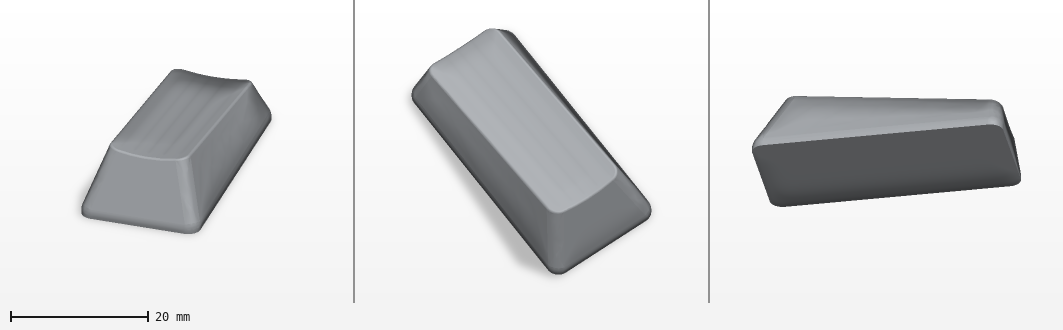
import cadquery as cq
import math

base_width = 18.15
base_length = 37.2
skirt_height = 1.0

rim_width = 12.13
rim_front_y = -14.0
rim_back_y = 18.1
rim_front_z = 9.95
rim_tilt_degrees = 7.2

scoop_depth = 0.7

body_fillet_radius = 1.9
rim_fillet_radius = 0.37

rim_run = rim_back_y - rim_front_y
rim_tilt = math.radians(rim_tilt_degrees)
rim_drop = rim_run * math.tan(rim_tilt)
rim_length = math.hypot(rim_run, rim_drop)

skirt_plane = cq.Plane(origin=(0, 0, skirt_height))
rim_plane = cq.Plane(
    origin=(0, (rim_front_y + rim_back_y) / 2, rim_front_z - rim_drop / 2),
    xDir=(1, 0, 0),
    normal=(0, math.sin(rim_tilt), math.cos(rim_tilt)),
)


def make_sharp_body():
    """Upright skirt topped by walls that lean in to the tilted rim."""
    skirt = cq.Workplane("XY").rect(base_width, base_length).extrude(skirt_height)
    wall_foot = cq.Workplane(skirt_plane).rect(base_width, base_length).val()
    wall_top = cq.Workplane(rim_plane).rect(rim_width, rim_length).val()
    walls = cq.Solid.makeLoft([wall_foot, wall_top], True)
    return skirt.union(cq.Workplane(walls))


def is_body_edge(edge):
    """True for the skirt and wall corners and for the bend between skirt and walls."""
    box = edge.BoundingBox()
    touches_bend = box.zmin <= skirt_height <= box.zmax
    return touches_bend


def round_body(body):
    return body.edges().filter(is_body_edge).fillet(body_fillet_radius)


def cut_scoop(body):
    """Hollow the top with a cylinder that runs the length of the tilted rim plane."""
    half_width = rim_width / 2
    scoop_radius = (half_width**2 + scoop_depth**2) / (2 * scoop_depth)
    cutter = cq.Solid.makeCylinder(
        scoop_radius,
        2 * rim_length,
        rim_plane.toWorldCoords((0, -rim_length, scoop_radius - scoop_depth)),
        rim_plane.yDir,
    )
    return body.cut(cq.Workplane(cutter))


def round_rim(body):
    scoop_face = body.faces("%CYLINDER").sort(lambda face: -face.Area())[0]
    return scoop_face.edges().fillet(rim_fillet_radius)


result = round_rim(cut_scoop(round_body(make_sharp_body())))